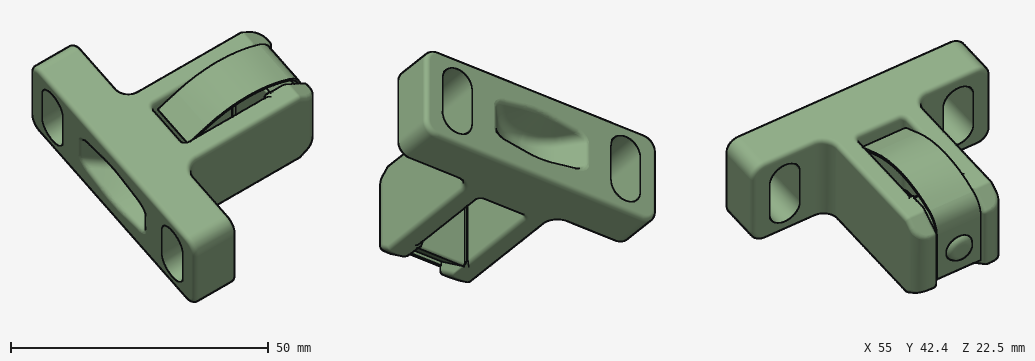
import cadquery as cq
import math

plate_length = 55.0
plate_depth = 10.0
height = 20.0
corner_radius = 3.0
edge_radius = 1.0
mid_height = height / 2
tolerance = 0.005

stem_width = 20.0
stem_end = 42.0
end_bevel_length = 4.3
end_bevel_drop = 3.0

mount_slot_width = 7.0
mount_slot_height = 15.0
mount_slot_spacing = 40.05

window_width = 11.0
window_start = 13.05
arm_step = 32.35

block_front = 33.1
block_front_radius = 0.5

channel_width = 10.55
channel_start = 33.65
channel_floor = 40.7
lip_radius = 0.35
bevel_slope = end_bevel_drop / end_bevel_length

pocket_depth = 7.3
pocket_floor_radius = 9.7
pocket_floor_flat = 0.45
pocket_floor_angle = math.radians(49.7)
pocket_flat_height = 4.7
pocket_fillet = 1.8
pocket_draft = math.radians(12)
pocket_overrun = 0.55
pocket_mouth_half_length = 13.75

spring_width = 10.1
spring_thickness = 0.5
spring_top = 22.5
spring_apex = 28.65
spring_radius = 22.55
spring_angle = math.radians(25.8)
spring_front = 14.35
spring_back = channel_floor + spring_thickness
spring_tail_reach = 5.95
head_diameter = 6.0
head_top = 42.4
head_round = 1.45


def make_outline_block():
    """Plate and bevelled stem, with the large corner rounds."""
    plate = (
        cq.Workplane("XY")
        .box(plate_length, plate_depth, height, centered=(True, False, False))
        .edges("|Y")
        .fillet(corner_radius)
    )
    stem = (
        cq.Workplane("XY")
        .box(stem_width, stem_end, height, centered=(True, False, False))
        .edges("|Z and >Y")
        .fillet(corner_radius)
    )
    root = cq.selectors.BoxSelector(
        (-stem_width / 2 - 0.55, plate_depth - 0.55, -0.55),
        (stem_width / 2 + 0.55, plate_depth + 0.55, height + 0.55),
    )
    block = plate.union(stem).edges("|Z").edges(root).fillet(corner_radius)
    for face, inward in ((0, 1), (height, -1)):
        wedge = (
            cq.Workplane("YZ")
            .moveTo(stem_end - end_bevel_length, face)
            .lineTo(stem_end, face)
            .lineTo(stem_end, face + inward * end_bevel_drop)
            .close()
            .extrude(stem_width, both=True)
        )
        block = block.cut(wedge)
    return block


def make_window():
    return (
        cq.Workplane("XY")
        .box(window_width, arm_step - window_start, height, centered=(True, False, False))
        .translate((0, window_start, 0))
        .edges("|Z and <Y")
        .fillet(edge_radius)
    )


def make_recess():
    """Narrow continuation of the window from the arm step to the front of the cross block."""
    return (
        cq.Workplane("XY")
        .box(channel_width, block_front - arm_step, height, centered=(True, False, False))
        .translate((0, arm_step, 0))
    )


def make_channel():
    """Space left outside the cross block, whose top and bottom fall away to the rear."""
    drop = (channel_floor - channel_start) * bevel_slope
    return (
        cq.Workplane("YZ")
        .moveTo(channel_start, height)
        .lineTo(channel_floor, height - drop)
        .lineTo(channel_floor, drop)
        .lineTo(channel_start, 0)
        .lineTo(stem_end, 0)
        .lineTo(stem_end, height)
        .close()
        .extrude(channel_width / 2, both=True)
    )


def is_flat(edge):
    """True for edges lying in the top or bottom face."""
    box = edge.BoundingBox()
    return box.zmax < tolerance or box.zmin > height - tolerance


def is_at_x(edge, distance):
    """True for edges centred at this distance to either side of the middle."""
    return abs(abs(edge.Center().x) - distance) < tolerance


def is_at_y(edge, y):
    return abs(edge.Center().y - y) < tolerance


def is_block_front(edge):
    return is_flat(edge) and is_at_y(edge, block_front) and is_at_x(edge, 0)


def is_lip(edge):
    """True for the edges where the channel walls meet the top or bottom face."""
    return is_flat(edge) and is_at_x(edge, channel_width / 2) and edge.Center().y > channel_start


def is_rounded(edge):
    """True for the outer edges that carry the common round."""
    box = edge.BoundingBox()
    distance = abs(edge.Center().x)
    on_front = box.ymax < tolerance
    on_plate_rear = box.ylen < tolerance and is_at_y(edge, plate_depth)
    on_plate_corner = on_plate_rear and distance > plate_length / 2 - corner_radius
    crosses_plate = box.ymin < tolerance and box.ymax > plate_depth - tolerance
    between_arms = box.ymax > arm_step + tolerance and distance < channel_width / 2 + tolerance
    on_outline = is_flat(edge) and not crosses_plate and not between_arms
    on_arm_end = box.ymin > stem_end - end_bevel_length - tolerance and not is_at_y(edge, channel_floor)
    is_upright = box.xlen < tolerance and box.ylen < tolerance
    is_seam = is_upright and distance > channel_width / 2 + tolerance
    return on_front or on_plate_corner or on_outline or (on_arm_end and not is_seam)


def round_edges(body, is_chosen, radius):
    return body.newObject([edge for edge in body.edges().vals() if is_chosen(edge)]).fillet(radius)


def make_mount_slots():
    return (
        cq.Workplane("XZ")
        .pushPoints([(side * mount_slot_spacing / 2, mid_height) for side in (-1, 1)])
        .slot2D(mount_slot_height, mount_slot_width, 90)
        .extrude(-plate_depth)
    )


def make_pocket_tool():
    """U section swept along a floor of two flanks, two arcs and a short flat."""
    half_flat = pocket_floor_flat / 2
    arc_end_x = half_flat + pocket_floor_radius * math.sin(pocket_floor_angle)
    arc_end_y = pocket_depth - pocket_floor_radius * (1 - math.cos(pocket_floor_angle))
    middle = pocket_floor_angle / 2
    arc_mid_x = half_flat + pocket_floor_radius * math.sin(middle)
    arc_mid_y = pocket_depth - pocket_floor_radius * (1 - math.cos(middle))
    end_x = arc_end_x + (arc_end_y + pocket_overrun) / math.tan(pocket_floor_angle)
    floor = (
        cq.Workplane("XY")
        .workplane(offset=mid_height)
        .moveTo(-end_x, -pocket_overrun)
        .lineTo(-arc_end_x, arc_end_y)
        .threePointArc((-arc_mid_x, arc_mid_y), (-half_flat, pocket_depth))
        .lineTo(half_flat, pocket_depth)
        .threePointArc((arc_mid_x, arc_mid_y), (arc_end_x, arc_end_y))
        .lineTo(end_x, -pocket_overrun)
    )
    half_flat_height = pocket_flat_height / 2
    wall_base_z = half_flat_height + pocket_fillet * math.cos(pocket_draft)
    wall_base_depth = pocket_fillet * (1 - math.sin(pocket_draft))
    turn = (math.pi / 2 - pocket_draft) / 2
    fillet_mid_z = half_flat_height + pocket_fillet * math.sin(turn)
    fillet_mid_depth = pocket_fillet * (1 - math.cos(turn))
    section_depth = pocket_depth + pocket_overrun
    section_half_height = wall_base_z + (section_depth - wall_base_depth) * math.tan(pocket_draft)
    start = cq.Plane(
        origin=(-end_x, -pocket_overrun, mid_height),
        xDir=(math.sin(pocket_floor_angle), -math.cos(pocket_floor_angle), 0),
        normal=(math.cos(pocket_floor_angle), math.sin(pocket_floor_angle), 0),
    )
    return (
        cq.Workplane(start)
        .moveTo(0, -half_flat_height)
        .lineTo(0, half_flat_height)
        .threePointArc((fillet_mid_depth, fillet_mid_z), (wall_base_depth, wall_base_z))
        .lineTo(section_depth, section_half_height)
        .lineTo(section_depth, -section_half_height)
        .lineTo(wall_base_depth, -wall_base_z)
        .threePointArc((fillet_mid_depth, -fillet_mid_z), (0, -half_flat_height))
        .close()
        .sweep(floor)
    )


def make_housing():
    """Plate and stem with the window, spring channel, mounting slots and thumb pocket."""
    body = make_outline_block().cut(make_window()).cut(make_recess()).cut(make_channel())
    body = round_edges(body, is_block_front, block_front_radius)
    body = round_edges(body, is_rounded, edge_radius)
    body = round_edges(body, is_lip, lip_radius)
    body = body.cut(make_mount_slots())
    body = body.cut(make_pocket_tool())
    mouth = cq.selectors.BoxSelector(
        (-pocket_mouth_half_length, -0.05, 0.55),
        (pocket_mouth_half_length, 0.05, height - 0.55),
    )
    return body.edges(mouth).fillet(edge_radius)


def make_spring():
    """Bowed strip bent down over the block, with a rivet head on its tail."""
    arc_drop = spring_radius * (1 - math.cos(spring_angle))
    arc_reach = spring_radius * math.sin(spring_angle)
    front_rise = (spring_apex - arc_reach - spring_front) * math.tan(spring_angle)
    shoulder_y = spring_apex + arc_reach
    shoulder_z = spring_top - arc_drop
    bend_radius = (spring_back - shoulder_y) / (1 - math.sin(spring_angle))
    bend_y = spring_back - bend_radius
    bend_z = shoulder_z - bend_radius * math.cos(spring_angle)
    bend_mid = (math.pi / 2 + spring_angle) / 2
    outer_face = (
        cq.Workplane("YZ")
        .moveTo(spring_front, shoulder_z - front_rise)
        .lineTo(spring_apex - arc_reach, shoulder_z)
        .threePointArc((spring_apex, spring_top), (shoulder_y, shoulder_z))
        .threePointArc(
            (bend_y + bend_radius * math.sin(bend_mid), bend_z + bend_radius * math.cos(bend_mid)),
            (spring_back, bend_z),
        )
        .lineTo(spring_back, mid_height - spring_tail_reach)
    )
    start = cq.Plane(
        origin=(0, spring_front, shoulder_z - front_rise),
        xDir=(1, 0, 0),
        normal=(0, math.cos(spring_angle), math.sin(spring_angle)),
    )
    strip = (
        cq.Workplane(start)
        .center(0, spring_thickness / 2)
        .rect(spring_width, spring_thickness)
        .sweep(outer_face)
    )
    head = (
        cq.Workplane("XZ", origin=(0, channel_floor, mid_height))
        .circle(head_diameter / 2)
        .extrude(channel_floor - head_top)
        .faces(">Y")
        .edges()
        .fillet(head_round)
    )
    return strip.union(head)


housing = make_housing()
spring = make_spring()
result = cq.Compound.makeCompound([housing.val(), spring.val()])